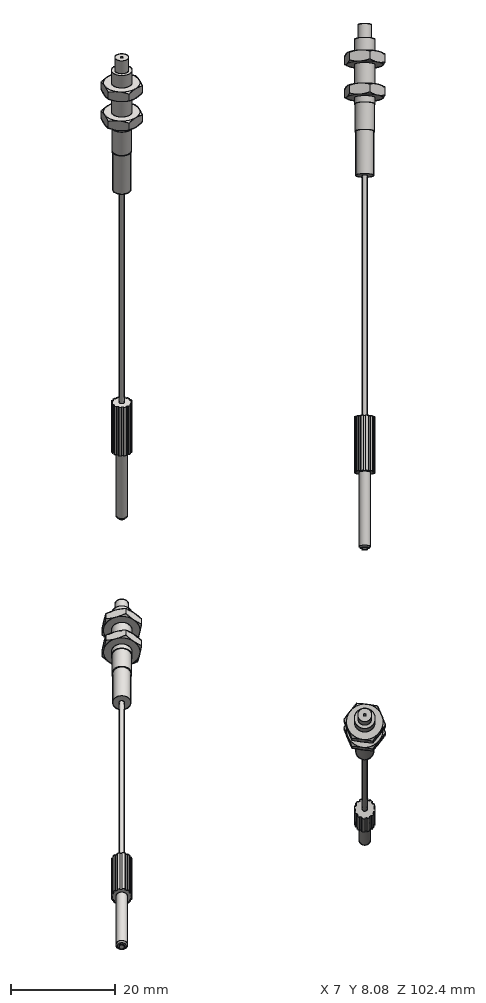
import cadquery as cq
import math

LENGTH = 102.4

TIP_DIAMETER = 2.7
TIP_LENGTH = 2.9
THREAD_DIAMETER = 4.0
THREAD_BOTTOM_DEPTH = 15.5
BODY_DIAMETER = 3.8
BODY_BOTTOM_DEPTH = 20.8
SLEEVE_DIAMETER = 3.5
SLEEVE_BOTTOM_DEPTH = 29.4
BORE_DIAMETER = 0.5
BORE_DEPTH = TIP_LENGTH

NUT_SIDES = 6
NUT_ACROSS_FLATS = 7.0
NUT_HEIGHT = 2.2
NUT_TOP_DEPTHS = (5.6, 12.1)
NUT_CHAMFER_ANGLE = 30

CABLE_DIAMETER = 1.0

GRIP_DIAMETER = 4.0
GRIP_TOP_DEPTH = 76.6
GRIP_BOTTOM_DEPTH = 87.3
FLUTE_COUNT = 12
FLUTE_WIDTH = 0.4
FLUTE_DEPTH = 0.2

ROD_DIAMETER = 2.3
ROD_CHAMFER = 0.3
CABLE_STICK_OUT = 0.3


def cylinder(diameter, top_depth, bottom_depth):
    """Solid cylinder on the Z axis between two depths below the top end."""
    base = cq.Workplane("XY").workplane(offset=LENGTH - bottom_depth)
    return base.circle(diameter / 2).extrude(bottom_depth - top_depth)


def lock_nut(top_depth):
    """Hexagonal nut with corners along Y, chamfered conically at both faces."""
    across_corners = NUT_ACROSS_FLATS / math.cos(math.pi / NUT_SIDES)
    corner_excess = (across_corners - NUT_ACROSS_FLATS) / 2
    chamfer_height = corner_excess * math.tan(math.radians(NUT_CHAMFER_ANGLE))
    base = cq.Workplane("XY").workplane(offset=LENGTH - top_depth - NUT_HEIGHT)
    hexagon = base.polygon(NUT_SIDES, across_corners).extrude(NUT_HEIGHT)
    hexagon = hexagon.rotate((0, 0, 0), (0, 0, 1), 90)
    envelope = cylinder(across_corners, top_depth, top_depth + NUT_HEIGHT)
    envelope = envelope.faces("<Z or >Z").chamfer(chamfer_height, corner_excess)
    return hexagon.intersect(envelope)


def fluted_grip():
    """Cylindrical grip with evenly spaced lengthwise flutes."""
    grip = cylinder(GRIP_DIAMETER, GRIP_TOP_DEPTH, GRIP_BOTTOM_DEPTH)
    flutes = (
        cq.Workplane("XY")
        .workplane(offset=LENGTH - GRIP_BOTTOM_DEPTH)
        .polarArray(GRIP_DIAMETER / 2, 180 / FLUTE_COUNT, 360, FLUTE_COUNT)
        .rect(2 * FLUTE_DEPTH, FLUTE_WIDTH)
        .extrude(GRIP_BOTTOM_DEPTH - GRIP_TOP_DEPTH)
    )
    return grip.cut(flutes)


tip = cylinder(TIP_DIAMETER, 0, TIP_LENGTH)
thread = cylinder(THREAD_DIAMETER, TIP_LENGTH, THREAD_BOTTOM_DEPTH)
body = cylinder(BODY_DIAMETER, THREAD_BOTTOM_DEPTH, BODY_BOTTOM_DEPTH)
sleeve = cylinder(SLEEVE_DIAMETER, BODY_BOTTOM_DEPTH, SLEEVE_BOTTOM_DEPTH)
cable = cylinder(CABLE_DIAMETER, SLEEVE_BOTTOM_DEPTH, LENGTH)
rod = cylinder(ROD_DIAMETER, GRIP_BOTTOM_DEPTH, LENGTH - CABLE_STICK_OUT)
rod = rod.faces("<Z").chamfer(ROD_CHAMFER)

result = tip.union(thread).union(body).union(sleeve).union(cable).union(fluted_grip()).union(rod)
for nut_top_depth in NUT_TOP_DEPTHS:
    result = result.union(lock_nut(nut_top_depth))
result = result.cut(cylinder(BORE_DIAMETER, 0, BORE_DEPTH))